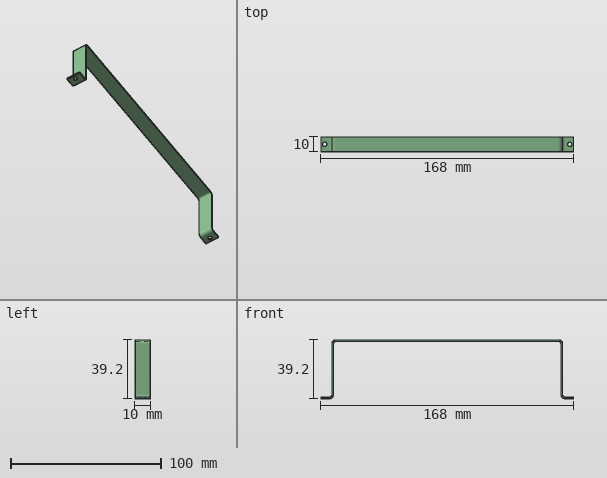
import cadquery as cq

length = 168.0
width = 10.0
height = 39.2

thickness = 1.2
inner_radius = 1.5
outer_radius = inner_radius + thickness

foot_projection = 7.3
hole_diameter = 2.8
hole_end_distance = 2.6

half_length = length / 2
leg_outer_x = half_length - foot_projection
leg_inner_x = leg_outer_x - thickness


def bent_strip():
    """Strap with two legs and two outward feet, bent from one flat strip."""
    top_bend_x = leg_outer_x - outer_radius
    foot_bend_x = leg_inner_x + outer_radius
    top_bend_z = height - outer_radius
    half = (
        cq.Workplane("XZ", origin=(0, width / 2, 0))
        .moveTo(0, height)
        .lineTo(top_bend_x, height)
        .radiusArc((leg_outer_x, top_bend_z), outer_radius)
        .lineTo(leg_outer_x, outer_radius)
        .radiusArc((foot_bend_x, thickness), -inner_radius)
        .lineTo(half_length, thickness)
        .lineTo(half_length, 0)
        .lineTo(foot_bend_x, 0)
        .radiusArc((leg_inner_x, outer_radius), outer_radius)
        .lineTo(leg_inner_x, top_bend_z)
        .radiusArc((top_bend_x, height - thickness), -inner_radius)
        .lineTo(0, height - thickness)
        .close()
        .extrude(width)
    )
    return half.union(half.mirror("YZ"))


def foot_holes():
    """Cutters for the screw hole through each foot."""
    hole_x = half_length - hole_end_distance
    return (
        cq.Workplane("XY")
        .pushPoints([(-hole_x, 0), (hole_x, 0)])
        .circle(hole_diameter / 2)
        .extrude(thickness)
    )


result = bent_strip().cut(foot_holes())